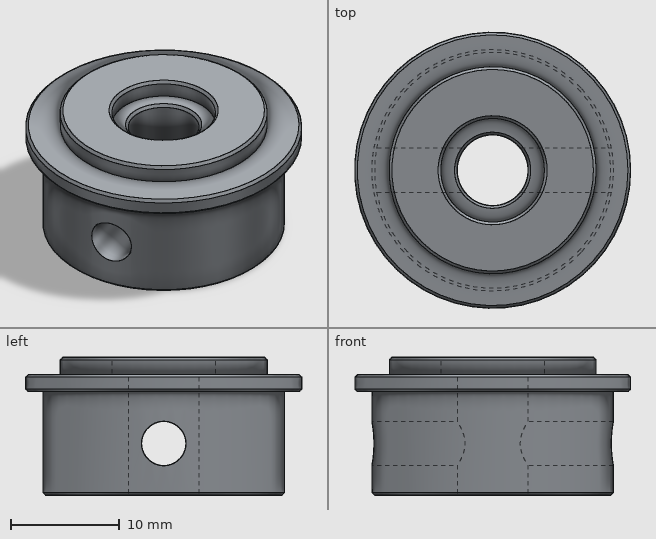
import cadquery as cq

body_diameter = 22.225
body_height = 9.525
flange_diameter = 25.4
flange_thickness = 1.5875
boss_diameter = 19.05
boss_height = 1.5875
edge_chamfer = 0.254

bore_diameter = 6.5
counterbore_diameter = 9.525
counterbore_depth = 1.5875

cross_hole_diameter = 4.06
cross_hole_height = body_height / 2

flange_top = body_height + flange_thickness
total_height = flange_top + boss_height
counterbore_floor = total_height - counterbore_depth


def disc(diameter, height, base):
    """Solid cylinder on the Z axis standing on the level `base`."""
    return cq.Workplane("XY").workplane(offset=base).circle(diameter / 2).extrude(height)


def hole_chamfer(diameter, level):
    """Cone that breaks the edge of a hole opening upward at `level`."""
    radius = diameter / 2
    return cq.Workplane(
        cq.Solid.makeCone(
            radius,
            radius + edge_chamfer,
            edge_chamfer,
            pnt=cq.Vector(0, 0, level - edge_chamfer),
        )
    )


def outer_shape():
    """Body, flange and top boss with their exposed rims chamfered."""
    body = disc(body_diameter, body_height, 0).faces("<Z").chamfer(edge_chamfer)
    flange = disc(flange_diameter, flange_thickness, body_height).edges().chamfer(edge_chamfer)
    boss = disc(boss_diameter, boss_height, flange_top).faces(">Z").chamfer(edge_chamfer)
    return body.union(flange).union(boss)


def stepped_bore():
    """Through bore and counterbore with chamfered mouths."""
    bore = disc(bore_diameter, total_height, 0)
    counterbore = disc(counterbore_diameter, counterbore_depth, counterbore_floor)
    return (
        bore.union(counterbore)
        .union(hole_chamfer(bore_diameter, counterbore_floor))
        .union(hole_chamfer(counterbore_diameter, total_height))
    )


def cross_hole():
    """Radial hole passing through both sides of the body."""
    return (
        cq.Workplane("YZ")
        .center(0, cross_hole_height)
        .circle(cross_hole_diameter / 2)
        .extrude(body_diameter / 2, both=True)
    )


result = outer_shape().cut(stepped_bore()).cut(cross_hole())